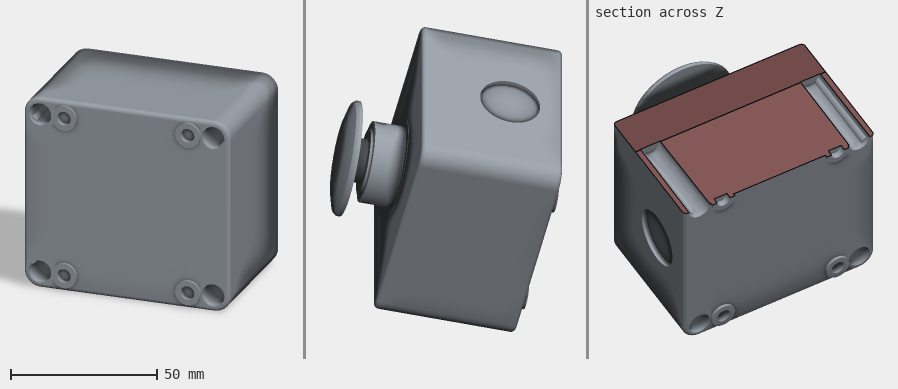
import cadquery as cq
import math

WIDTH = 75.0
HEIGHT = 70.0
CORNER_RADIUS = 6.0
EDGE_FILLET = 1.5
BASE_DEPTH = 33.8
BOX_DEPTH = 49.3

POCKET_MOUTH_RADIUS = 4.05
POCKET_END_RADIUS = 3.8
POCKET_X = WIDTH / 2 - CORNER_RADIUS
POCKET_Z = HEIGHT / 2 - CORNER_RADIUS

RIB_RADIUS = 2.25
RIB_AXIS_OFFSET = 5.6
RIB_START = 1.65

FOOT_X = 22.5
FOOT_Z = POCKET_Z
FOOT_RADIUS = 4.5
FOOT_HEIGHT = 1.0
FOOT_HOLE_RADIUS = 2.5
FOOT_HOLE_DEPTH = 2.25

ENTRY_Y = 18.5
ENTRY_RADIUS = 10.5
ENTRY_DISC_RADIUS = 9.5
ENTRY_DEPTH = 2.0
ENTRY_DISC_RISE = 0.2
ENTRY_NOTCH_WIDTH = 0.6

FLANGE_RADIUS = 16.8
FLANGE_THICKNESS = 0.2
NECK_RADIUS = 13.9
NECK_TOP = 0.9
COLLAR_RADIUS = 14.1
COLLAR_TOP = 11.1
STEP_RADIUS = 11.4
STEP_TOP = 12.0

STEM_RADIUS = 7.65
HEAD_BOTTOM = 16.8
HEAD_RADIUS = 20.0
HEAD_RIM_HEIGHT = 1.2
RIM_CHAMFER_HEIGHT = 1.0
DOME_RADIUS = 19.3
CROWN_RADIUS = 10.4
BUTTON_TOP = 20.8

CORNER_SIGNS = [(sx, sz) for sx in (-1, 1) for sz in (-1, 1)]
Y_AXIS = cq.Vector(0, 1, 0)


def box_section(start, depth):
    """Rounded rectangular block from Y = start to Y = start + depth."""
    return (
        cq.Workplane("XZ", origin=(0, start, 0))
        .rect(WIDTH, HEIGHT)
        .extrude(-depth)
        .edges("|Y")
        .fillet(CORNER_RADIUS)
    )


def disc(radius, start, depth, x=0.0, z=0.0):
    """Cylinder along Y from Y = start to Y = start + depth."""
    return cq.Workplane(cq.Solid.makeCylinder(radius, depth, cq.Vector(x, start, z), Y_AXIS))


def make_entry_recess():
    """Space removed for the cable entry, with a notch across the sloping ring at each quadrant."""
    x_axis = cq.Vector(1, 0, 0)
    mouth = cq.Vector(-WIDTH / 2, ENTRY_Y, 0)
    floor = mouth + x_axis * ENTRY_DEPTH
    ring = cq.Workplane(
        cq.Solid.makeCone(ENTRY_RADIUS, ENTRY_DISC_RADIUS, ENTRY_DISC_RISE, floor, x_axis * -1)
    )
    ring_width = ENTRY_RADIUS - ENTRY_DISC_RADIUS
    notch = (
        cq.Workplane("XY")
        .box(ENTRY_DISC_RISE, ring_width, ENTRY_NOTCH_WIDTH)
        .translate((floor.x - ENTRY_DISC_RISE / 2, ENTRY_Y + ENTRY_RADIUS - ring_width / 2, 0))
    )
    for quadrant in range(4):
        ring = ring.cut(notch.rotate(mouth, floor, 90 * quadrant))
    return cq.Workplane(cq.Solid.makeCylinder(ENTRY_RADIUS, ENTRY_DEPTH, mouth, x_axis)).cut(ring)


def make_pocket(sx, sz):
    """Space removed for one screw pocket, as deep as the base, leaving its rib standing."""
    mouth = cq.Vector(sx * POCKET_X, 0, sz * POCKET_Z)
    pocket = cq.Workplane(cq.Solid.makeCone(POCKET_MOUTH_RADIUS, POCKET_END_RADIUS, BASE_DEPTH, mouth, Y_AXIS))
    rib_shift = RIB_AXIS_OFFSET * math.sqrt(0.5)
    rib_x = mouth.x + sx * rib_shift
    rib_z = mouth.z - sz * rib_shift
    return pocket.cut(disc(RIB_RADIUS, RIB_START, BASE_DEPTH - RIB_START, rib_x, rib_z))


def make_base():
    base = box_section(0, BASE_DEPTH).faces("<Y").edges().fillet(EDGE_FILLET)
    for sx, sz in CORNER_SIGNS:
        base = base.union(disc(FOOT_RADIUS, -FOOT_HEIGHT, FOOT_HEIGHT, sx * FOOT_X, sz * FOOT_Z))
        base = base.cut(disc(FOOT_HOLE_RADIUS, -FOOT_HEIGHT, FOOT_HOLE_DEPTH, sx * FOOT_X, sz * FOOT_Z))
        base = base.cut(make_pocket(sx, sz))
    return base.cut(make_entry_recess())


def make_lid():
    return box_section(BASE_DEPTH, BOX_DEPTH - BASE_DEPTH).faces(">Y").edges().fillet(EDGE_FILLET)


def make_collar():
    profile = (
        cq.Workplane("XY", origin=(0, BOX_DEPTH, 0))
        .lineTo(FLANGE_RADIUS, 0)
        .lineTo(FLANGE_RADIUS, FLANGE_THICKNESS)
        .lineTo(NECK_RADIUS, FLANGE_THICKNESS)
        .lineTo(NECK_RADIUS, NECK_TOP)
        .lineTo(COLLAR_RADIUS, NECK_TOP)
        .lineTo(COLLAR_RADIUS, COLLAR_TOP)
        .lineTo(STEP_RADIUS, COLLAR_TOP)
        .lineTo(STEP_RADIUS, STEP_TOP)
        .lineTo(0, STEP_TOP)
        .close()
    )
    return profile.revolve(360, (0, 0, 0), (0, 1, 0))


def make_button():
    rim_top = HEAD_BOTTOM + HEAD_RIM_HEIGHT
    dome_bottom = rim_top + RIM_CHAMFER_HEIGHT
    dome_run = DOME_RADIUS - CROWN_RADIUS
    dome_drop = BUTTON_TOP - dome_bottom
    dome_arc_radius = (dome_run**2 + dome_drop**2) / (2 * dome_drop)
    half_angle = math.asin(dome_run / dome_arc_radius) / 2
    dome_middle = (
        CROWN_RADIUS + dome_arc_radius * math.sin(half_angle),
        BUTTON_TOP - dome_arc_radius * (1 - math.cos(half_angle)),
    )
    profile = (
        cq.Workplane("XY", origin=(0, BOX_DEPTH, 0))
        .moveTo(0, STEP_TOP)
        .lineTo(STEM_RADIUS, STEP_TOP)
        .lineTo(STEM_RADIUS, HEAD_BOTTOM)
        .lineTo(HEAD_RADIUS, HEAD_BOTTOM)
        .lineTo(HEAD_RADIUS, rim_top)
        .lineTo(DOME_RADIUS, dome_bottom)
        .threePointArc(dome_middle, (CROWN_RADIUS, BUTTON_TOP))
        .lineTo(0, BUTTON_TOP)
        .close()
    )
    return profile.revolve(360, (0, 0, 0), (0, 1, 0))


base = make_base()
lid = make_lid()
collar = make_collar()
button = make_button()

result = cq.Compound.makeCompound([base.val(), lid.val(), collar.val(), button.val()])